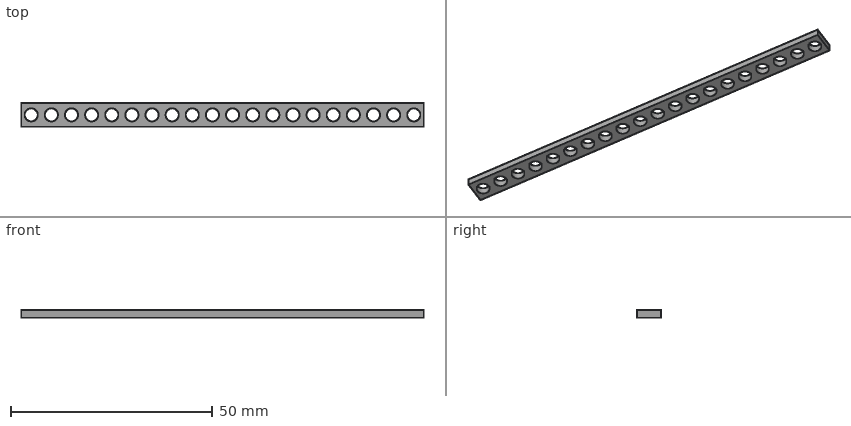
import cadquery as cq

length = 100.0
width = 6.0
thickness = 2.0

hole_count = 20
hole_pitch = length / hole_count
hole_diameter = 3.2

bar = cq.Workplane("XY").box(length, width, thickness)

result = (
    bar.faces(">Z")
    .workplane()
    .rarray(hole_pitch, width, hole_count, 1)
    .hole(hole_diameter)
)